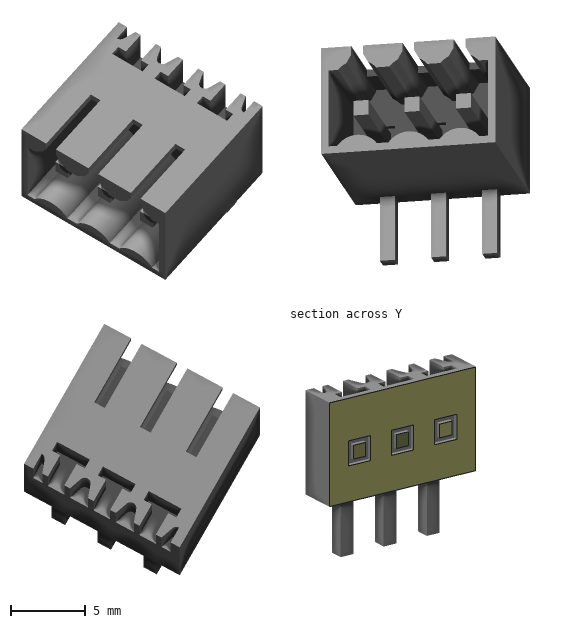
import cadquery as cq
import math


WIDTH = 11.9
DEPTH = 11.05
TOTAL_HEIGHT = 11.95
HEIGHT = 7.46
WALL = 0.5
ROOF_THICKNESS = 0.49

PIN_COUNT = 3
PITCH = 3.5
PIN_CENTERS = [(i - (PIN_COUNT - 1) / 2) * PITCH for i in range(PIN_COUNT)]

PIN_SIZE = 1.03
PIN_AXIS_Z = 3.49
PIN_FRONT = 1.22
PIN_BACK_INSET = 0.32
LEG_LENGTH = TOTAL_HEIGHT - HEIGHT

CAVITY_DEPTH = 8.01
CEILING_DROP = 1.61
CEILING_Z = HEIGHT - CEILING_DROP
ARC_RADIUS = 1.7
RIDGE_HEIGHT = 0.68
SCALLOP_HALF_WIDTH = 1.3
NECK_DEPTH = 0.1
FLARE_ANGLE = 60
POCKET_SIZE = 1.76
POCKET_DEPTH = WALL

KEY_WIDTH = 0.8
KEY_LENGTH = 5.07

BACK_CUT_DEPTH = 2.5
BACK_FLOOR_Z = HEIGHT - BACK_CUT_DEPTH

TEE_STEM_WIDTH = 1.25
TEE_STEM_LENGTH = 1.7
TEE_HEAD_WIDTH = 2.5
TEE_LENGTH = 2.39

NOTCH_HALF_WIDTH = 0.69
NOTCH_DEPTH = 1.17
NOTCH_TIP_RADIUS = 0.4
NOTCH_TAPER = 19.3


def box(x_size, y_size, z_size, x, y, z):
    """Box centred on x, starting at y and z."""
    return cq.Workplane("XY").box(x_size, y_size, z_size, centered=(True, False, False)).translate((x, y, z))


def make_pin(x):
    """Square-section L: a contact along Y and a leg going down at its back end."""
    back = DEPTH - PIN_BACK_INSET
    contact = box(PIN_SIZE, back - PIN_FRONT, PIN_SIZE, x, PIN_FRONT, PIN_AXIS_Z - PIN_SIZE / 2)
    leg = box(PIN_SIZE, PIN_SIZE, LEG_LENGTH + PIN_AXIS_Z, x, back - PIN_SIZE, -LEG_LENGTH)
    return contact.union(leg)


def along_cavity(x, z, radius):
    """Cylinder along Y, as long as the cavity."""
    circle = cq.Workplane("XZ").center(x, z).circle(radius)
    return circle.extrude(-CAVITY_DEPTH)


def key_groove(x):
    """Flared groove from the underside of the thin roof down to the scallop."""
    top_z = HEIGHT - ROOF_THICKNESS
    neck_z = top_z - NECK_DEPTH
    half_top = KEY_WIDTH / 2
    half_bottom = half_top + (neck_z - CEILING_Z) / math.tan(math.radians(FLARE_ANGLE))
    corners = [
        (x - half_top, top_z),
        (x + half_top, top_z),
        (x + half_top, neck_z),
        (x + half_bottom, CEILING_Z),
        (x - half_bottom, CEILING_Z),
        (x - half_top, neck_z),
    ]
    return cq.Workplane("XZ").polyline(corners).close().extrude(-CAVITY_DEPTH)


def make_cavity():
    """Box with ridges left on its floor, scallops and key grooves added to its ceiling."""
    cavity = box(WIDTH - 2 * WALL, CAVITY_DEPTH, CEILING_Z - WALL, 0, 0, WALL)
    ridge_center_z = WALL + RIDGE_HEIGHT - ARC_RADIUS
    scallop_center_z = CEILING_Z - math.sqrt(ARC_RADIUS**2 - SCALLOP_HALF_WIDTH**2)
    for x in PIN_CENTERS:
        cavity = cavity.union(along_cavity(x, scallop_center_z, ARC_RADIUS))
        cavity = cavity.union(key_groove(x))
        cavity = cavity.cut(along_cavity(x, ridge_center_z, ARC_RADIUS))
    return cavity


def pin_pocket(x):
    return box(POCKET_SIZE, POCKET_DEPTH, POCKET_SIZE, x, CAVITY_DEPTH, PIN_AXIS_Z - POCKET_SIZE / 2)


def key_slot(x):
    return box(KEY_WIDTH, KEY_LENGTH, ROOF_THICKNESS, x, 0, HEIGHT - ROOF_THICKNESS)


def tee_pocket(x):
    stem = box(TEE_STEM_WIDTH, TEE_STEM_LENGTH, BACK_CUT_DEPTH, x, DEPTH - TEE_STEM_LENGTH, BACK_FLOOR_Z)
    head_length = TEE_LENGTH - TEE_STEM_LENGTH
    head = box(TEE_HEAD_WIDTH, head_length, BACK_CUT_DEPTH, x, DEPTH - TEE_LENGTH, BACK_FLOOR_Z)
    return stem.union(head)


def back_notch(x):
    """Notch whose straight flanks run tangent into a round tip."""
    taper = math.radians(NOTCH_TAPER)
    tip_y = DEPTH - NOTCH_DEPTH
    tangent_x = NOTCH_TIP_RADIUS * math.cos(taper)
    tangent_y = tip_y + NOTCH_TIP_RADIUS * (1 - math.sin(taper))
    return (
        cq.Workplane("XY", origin=(0, 0, BACK_FLOOR_Z))
        .moveTo(x - NOTCH_HALF_WIDTH, DEPTH)
        .lineTo(x - tangent_x, tangent_y)
        .threePointArc((x, tip_y), (x + tangent_x, tangent_y))
        .lineTo(x + NOTCH_HALF_WIDTH, DEPTH)
        .close()
        .extrude(BACK_CUT_DEPTH)
    )


def make_back_notches():
    """Notches half a pitch from the pins; only the inner half of each end one is cut."""
    end_x = PIN_COUNT * PITCH / 2
    notches = back_notch(-end_x)
    for i in range(1, PIN_COUNT + 1):
        notches = notches.union(back_notch(-end_x + i * PITCH))
    between_ends = box(2 * end_x, DEPTH, HEIGHT, 0, 0, 0)
    return notches.intersect(between_ends)


def make_housing(pins):
    housing = box(WIDTH, DEPTH, HEIGHT, 0, 0, 0).cut(make_cavity()).cut(make_back_notches())
    for x in PIN_CENTERS:
        housing = housing.cut(key_slot(x)).cut(pin_pocket(x)).cut(tee_pocket(x))
    for pin in pins:
        housing = housing.cut(pin)
    return housing


pins = [make_pin(x) for x in PIN_CENTERS]
housing = make_housing(pins)

result = cq.Compound.makeCompound([housing.val(), *[pin.val() for pin in pins]])